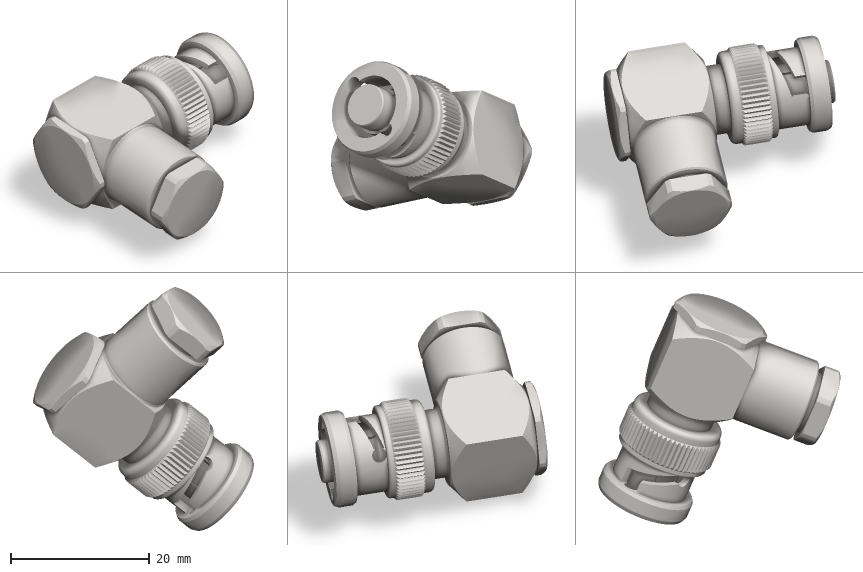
import cadquery as cq
import math


body_size = 12.77
body_half = body_size / 2
corner_cut_depth = 2.25
end_face_radius = 6.25

cap_neck_radius = 5.58
cap_front = -7.88
cap_back = -6.55
cap_corner_radius = 7.15
cap_face_radius = 6.3
cap_chamfer_length = 0.5

sleeve_radius = 6.1
sleeve_root_radius = 6.25
sleeve_start = 6.6
sleeve_end = 15.9
sleeve_chamfer = 0.23
cable_neck_radius = 4.6
cable_nut_start = 16.75
cable_nut_end = 19.42
cable_nut_flats = 10.95
cable_nut_corner_radius = sleeve_radius
cable_nut_face_radius = 5.4
cable_nut_chamfer_length = 0.5

flare_end = 6.7
flare_radius = 5.38
neck_radius = 5.05
ring_back = 8.72
ring_radius = 6.8
ring_back_fillet = 0.7
knurl_start = 10.2
knurl_end = 14.62
knurl_radius = 7.23
knurl_root_radius = ring_radius
knurl_teeth = 60
ring_front = 15.5
ring_front_fillet = 0.35
barrel_radius = 5.7
flange_back = 20.3
flange_front = 23.37
flange_radius = 6.97
flange_chamfer_width = 0.3
flange_front_chamfer = 0.6
flange_back_chamfer = 0.5

cavity_radius = 4.67
cavity_floor = 15.08
contact_radius = 3.55
contact_shoulder_radius = 3.95
contact_tip_radius = 3.15
contact_tip_start = 21.4
shoulder_bottom = 16.2
shoulder_top = 16.7
contact_end = cap_front + 32.42
contact_chamfer_width = 0.13
contact_chamfer_length = 0.23
groove_count = 6
groove_width = 0.4
groove_depth = 0.5

entry_near_angle = 21
entry_far_angle = 50.5
entry_near_end = 18.77
entry_far_end = 17.83
channel_reach = 5.95
latch_angle = -44
lug_diameter = 2.15
latch_y = 16.5
ramp_end_x = -3.25
ramp_upper_y = 17.18
ramp_lower_y = 15.63
ramp_floor = 2.85


def cylinder_y(radius, start, end):
    """Cylinder on the Y axis between two Y stations."""
    return cq.Workplane("XZ", origin=(0, start, 0)).circle(radius).extrude(start - end)


def revolve_y(profile):
    """Revolve an outline of (radius, y) points about the Y axis."""
    return cq.Workplane("XY").polyline(profile).close().revolve(360, (0, 0), (0, 1))


def revolve_x(profile):
    """Revolve an outline of (x, radius) points about the X axis."""
    return cq.Workplane("XY").polyline(profile).close().revolve(360, (0, 0), (1, 0))


def hexagon_points(across_flats):
    """Hexagon corners with one corner on the first axis."""
    corner = across_flats / math.sqrt(3)
    angles = [math.radians(60 * i) for i in range(6)]
    return [(corner * math.cos(a), corner * math.sin(a)) for a in angles]


def make_body():
    cube = cq.Workplane("XY").box(body_size, body_size, body_size)
    corner_radius = body_half * math.sqrt(2)
    shoulder = body_half - corner_cut_depth
    envelope = revolve_y([
        (0, -body_half),
        (end_face_radius, -body_half),
        (corner_radius, -shoulder),
        (corner_radius, shoulder),
        (end_face_radius, body_half),
        (0, body_half),
    ])
    return cube.intersect(envelope)


def make_cap_nut():
    neck = cylinder_y(cap_neck_radius, cap_back, 0)
    hexagon = (
        cq.Workplane("XZ", origin=(0, cap_back, 0))
        .polyline(hexagon_points(body_size)).close()
        .extrude(cap_back - cap_front)
    )
    envelope = revolve_y([
        (0, cap_front),
        (cap_face_radius, cap_front),
        (cap_corner_radius, cap_front + cap_chamfer_length),
        (cap_corner_radius, cap_back),
        (0, cap_back),
    ])
    return hexagon.intersect(envelope).union(neck)


def make_cable_sleeve():
    return revolve_x([
        (0, 0),
        (0, sleeve_root_radius),
        (body_half, sleeve_root_radius),
        (sleeve_start, sleeve_radius),
        (sleeve_end - sleeve_chamfer, sleeve_radius),
        (sleeve_end, sleeve_radius - sleeve_chamfer),
        (sleeve_end, cable_neck_radius),
        (cable_nut_start, cable_neck_radius),
        (cable_nut_start, 0),
    ])


def make_cable_nut():
    hexagon = (
        cq.Workplane("YZ", origin=(cable_nut_start, 0, 0))
        .polyline(hexagon_points(cable_nut_flats)).close()
        .extrude(cable_nut_end - cable_nut_start)
    )
    envelope = revolve_x([
        (cable_nut_start, 0),
        (cable_nut_start, cable_nut_corner_radius),
        (cable_nut_end - cable_nut_chamfer_length, cable_nut_corner_radius),
        (cable_nut_end, cable_nut_face_radius),
        (cable_nut_end, 0),
    ])
    return hexagon.intersect(envelope)


def make_coupling_neck():
    return revolve_y([
        (0, 0),
        (flare_radius, 0),
        (flare_radius, body_half),
        (neck_radius, flare_end),
        (neck_radius, ring_back),
        (0, ring_back),
    ])


def make_ring():
    ring = cylinder_y(ring_radius, ring_back, ring_front)
    ring = ring.faces("<Y").edges().fillet(ring_back_fillet)
    return ring.faces(">Y").edges().fillet(ring_front_fillet)


def make_knurl():
    tooth_pitch = 2 * math.pi / knurl_teeth
    outline = []
    for tooth in range(knurl_teeth):
        for radius, offset in ((knurl_root_radius, 0), (knurl_radius, 0.5)):
            angle = (tooth + offset) * tooth_pitch
            outline.append((radius * math.cos(angle), radius * math.sin(angle)))
    teeth = (
        cq.Workplane("XZ", origin=(0, knurl_start, 0))
        .polyline(outline).close()
        .extrude(knurl_start - knurl_end)
    )
    bevel = knurl_radius - ring_radius
    envelope = revolve_y([
        (0, knurl_start),
        (ring_radius, knurl_start),
        (knurl_radius, knurl_start + bevel),
        (knurl_radius, knurl_end - bevel),
        (ring_radius, knurl_end),
        (0, knurl_end),
    ])
    return teeth.intersect(envelope)


def make_barrel():
    """Slotted barrel with its front flange, hollow down to the cavity floor."""
    flange_edge = flange_radius - flange_chamfer_width
    return revolve_y([
        (0, ring_back),
        (barrel_radius, ring_back),
        (barrel_radius, flange_back),
        (flange_edge, flange_back),
        (flange_radius, flange_back + flange_back_chamfer),
        (flange_radius, flange_front - flange_front_chamfer),
        (flange_edge, flange_front),
        (0, flange_front),
    ])


def polar_point(radius, angle):
    """X and Z of a point around the Y axis, with the angle taken from +Z."""
    turn = math.radians(angle)
    return radius * math.sin(turn), radius * math.cos(turn)


def make_bayonet_slot():
    """Upper slot cutter: flange channel, straight entry, sloping ramp and round latch hole."""
    middle_angle = (entry_near_angle + entry_far_angle) / 2
    channel_center = polar_point(channel_reach - lug_diameter / 2, middle_angle)
    channel = (
        cq.Workplane("XZ", origin=(0, flange_back, 0))
        .center(*channel_center)
        .circle(lug_diameter / 2)
        .extrude(flange_back - flange_front)
    )
    near_edge = polar_point(barrel_radius, entry_near_angle)
    far_edge = polar_point(barrel_radius, entry_far_angle)
    entry = (
        cq.Workplane("XZ", origin=(0, entry_far_end, 0))
        .lineTo(*near_edge)
        .threePointArc(polar_point(barrel_radius, middle_angle), far_edge)
        .close()
        .extrude(entry_far_end - flange_back)
    )
    ramp = (
        cq.Workplane("XY", origin=(0, 0, ramp_floor))
        .polyline([
            (near_edge[0], entry_near_end),
            (far_edge[0], entry_far_end),
            (ramp_end_x, ramp_lower_y),
            (ramp_end_x, ramp_upper_y),
        ]).close()
        .extrude(barrel_radius - ramp_floor)
    )
    latch = (
        cq.Workplane("XY").center(0, latch_y).circle(lug_diameter / 2)
        .extrude(barrel_radius)
        .rotate((0, 0, 0), (0, 1, 0), latch_angle)
    )
    return channel.union(entry).union(ramp).union(latch)


def make_contact():
    """Central contact with a shoulder near the cavity floor, long grooves and a plain tip."""
    contact = revolve_y([
        (0, ring_back),
        (contact_shoulder_radius, ring_back),
        (contact_shoulder_radius, shoulder_bottom),
        (contact_radius, shoulder_top),
        (contact_radius, contact_tip_start),
        (contact_tip_radius, contact_tip_start),
        (contact_tip_radius, contact_end - contact_chamfer_length),
        (contact_tip_radius - contact_chamfer_width, contact_end),
        (0, contact_end),
    ])
    groove_length = contact_tip_start - cavity_floor
    groove_bottom = contact_radius - groove_depth
    groove = (
        cq.Workplane("XY", origin=(0, cavity_floor + groove_length / 2, groove_bottom))
        .rect(groove_width, groove_length)
        .extrude(contact_shoulder_radius - groove_bottom)
    )
    for i in range(groove_count):
        contact = contact.cut(groove.rotate((0, 0, 0), (0, 1, 0), i * 360 / groove_count))
    return contact


coupling = make_barrel().union(make_ring()).union(make_knurl())
coupling = coupling.cut(cylinder_y(cavity_radius, cavity_floor, flange_front))
slot = make_bayonet_slot()
coupling = coupling.cut(slot).cut(slot.rotate((0, 0, 0), (0, 1, 0), 180))

result = make_body()
for piece in (
    make_cap_nut(),
    make_cable_sleeve(),
    make_cable_nut(),
    make_coupling_neck(),
    coupling,
    make_contact(),
):
    result = result.union(piece)